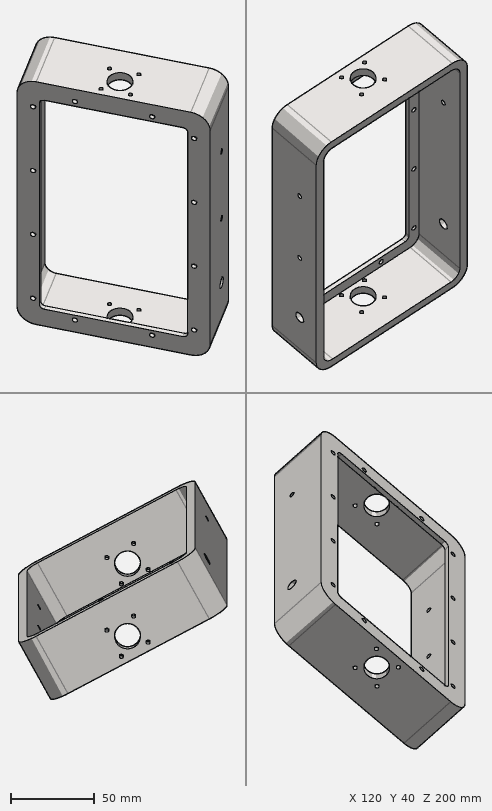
import cadquery as cq

width = 120.0
depth = 40.0
height = 200.0
outer_radius = 12.0
front_y = -depth / 2
back_y = depth / 2

wall = 6.0
cavity_radius = 7.0
lip_overhang = 8.0
lip_radius = 3.0
lip_thickness = 3.0

screw_diameter = 3.2
screw_inset = 10.0
end_screw_spacing = 48.0
side_screw_spacing = 52.5
side_screw_count = 4

port_diameter = 15.5
port_from_front = 14.0
mount_diameter = 2.5
mount_spacing = 18.2

side_hole_y = back_y - 15.0
side_small_diameter = 3.2
side_large_diameter = 7.0
upper_hole_z = 48.0
middle_hole_z = -7.0
lower_hole_z = -60.0


def rounded_block(size_x, size_z, radius, start_y, end_y):
    """Block with corners rounded about Y, spanning start_y to end_y."""
    length = end_y - start_y
    block = cq.Workplane("XY").box(size_x, length, size_z).edges("|Y").fillet(radius)
    return block.translate((0, (start_y + end_y) / 2, 0))


def cylinder(diameter, length, start, direction):
    """Straight cutting cylinder from a start point along a direction."""
    return cq.Solid.makeCylinder(diameter / 2, length, cq.Vector(*start), cq.Vector(*direction))


def make_frame():
    """Rounded frame with its cavity and the smaller opening in the lip."""
    cavity_width = width - 2 * wall
    cavity_height = height - 2 * wall
    opening_width = cavity_width - 2 * lip_overhang
    opening_height = cavity_height - 2 * lip_overhang
    body = rounded_block(width, height, outer_radius, front_y, back_y)
    cavity = rounded_block(cavity_width, cavity_height, cavity_radius, front_y + lip_thickness, back_y)
    opening = rounded_block(opening_width, opening_height, lip_radius, front_y, back_y)
    return body.cut(cavity).cut(opening)


def cut_screw_holes(body):
    """Screw holes around the rim: four on each side and two on each end."""
    side_x = width / 2 - screw_inset
    end_z = height / 2 - screw_inset
    lowest_z = -side_screw_spacing * (side_screw_count - 1) / 2
    for side in (-1, 1):
        points = [(side * side_x, lowest_z + i * side_screw_spacing) for i in range(side_screw_count)]
        points += [(x_side * end_screw_spacing / 2, side * end_z) for x_side in (-1, 1)]
        for x, z in points:
            body = body.cut(cylinder(screw_diameter, lip_thickness, (x, front_y, z), (0, 1, 0)))
    return body


def cut_end_ports(body):
    """Port and mounting holes along Z through both end walls."""
    port_y = front_y + port_from_front
    bottom_z = -height / 2
    body = body.cut(cylinder(port_diameter, height, (0, port_y, bottom_z), (0, 0, 1)))
    offset = mount_spacing / 2
    for x in (-offset, offset):
        for y in (port_y - offset, port_y + offset):
            body = body.cut(cylinder(mount_diameter, height, (x, y, bottom_z), (0, 0, 1)))
    return body


def cut_side_holes(body):
    """Two holes through both side walls, and a middle one in the +X wall only."""
    for diameter, z in ((side_small_diameter, upper_hole_z), (side_large_diameter, lower_hole_z)):
        body = body.cut(cylinder(diameter, width, (-width / 2, side_hole_y, z), (1, 0, 0)))
    middle_start = (0, side_hole_y, middle_hole_z)
    return body.cut(cylinder(side_small_diameter, width / 2, middle_start, (1, 0, 0)))


frame = make_frame()
frame = cut_screw_holes(frame)
frame = cut_end_ports(frame)
result = cut_side_holes(frame)